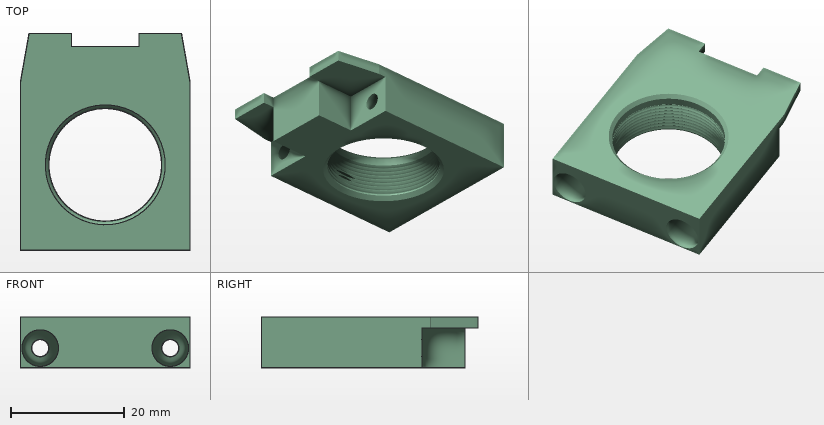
import cadquery as cq

width = 30.0
length = 38.37
height = 9.0
plate_thickness = 2.0
rear_width = 27.0
taper_length = 8.45
notch_width = 11.95
notch_depth = 2.3
shoulder_y = 28.45
tongue_end_y = length - notch_depth

screw_spacing = 23.02
screw_z = 3.5
screw_diameter = 3.0
counterbore_diameter = 6.5
counterbore_depth = 6.9

bore_y = 15.1
mouth_diameter = 21.2
relief_diameter = 20.0
relief_depth = 1.45
minor_diameter = 19.9
major_diameter = 20.6
thread_length = 6.0
groove_count = 8
thread_pitch = thread_length / groove_count
exit_diameter = 21.37


def make_plate():
    """Top plate with tapered rear corners and a notch in the rear edge."""
    half = (
        cq.Workplane("XY", origin=(0, 0, height - plate_thickness))
        .polyline([
            (0, 0),
            (width / 2, 0),
            (width / 2, length - taper_length),
            (rear_width / 2, length),
            (notch_width / 2, length),
            (notch_width / 2, tongue_end_y),
            (0, tongue_end_y),
        ])
        .close()
        .extrude(plate_thickness)
    )
    return half.union(half.mirror("YZ"))


def make_block(block_width, end_y):
    """Block under the plate, running from the front face to end_y."""
    return cq.Workplane("XY").box(
        block_width, end_y, height - plate_thickness, centered=(True, False, False)
    )


def make_screw_cutter(x):
    """Through hole along Y with a counterbore in the front face."""
    front = cq.Workplane("XZ", origin=(x, 0, screw_z))
    hole = front.circle(screw_diameter / 2).extrude(-length)
    counterbore = front.circle(counterbore_diameter / 2).extrude(-counterbore_depth)
    return hole.union(counterbore)


def make_bore_cutter():
    """Bore with chamfered ends, a plain relief and ring grooves for the thread."""
    minor_radius = minor_diameter / 2
    mouth_radius = mouth_diameter / 2
    exit_radius = exit_diameter / 2
    exit_chamfer = exit_radius - minor_radius
    relief_radius = relief_diameter / 2
    chamfer = mouth_radius - relief_radius
    relief_bottom = height - chamfer - relief_depth
    profile = (
        cq.Workplane("XZ")
        .moveTo(0, height)
        .lineTo(mouth_radius, height)
        .lineTo(relief_radius, height - chamfer)
        .lineTo(relief_radius, relief_bottom)
        .lineTo(minor_radius, relief_bottom)
    )
    for i in range(groove_count):
        groove_top = relief_bottom - i * thread_pitch
        profile = (
            profile.lineTo(major_diameter / 2, groove_top - thread_pitch / 2)
            .lineTo(minor_radius, groove_top - thread_pitch)
        )
    profile = (
        profile.lineTo(minor_radius, exit_chamfer)
        .lineTo(exit_radius, 0)
        .lineTo(0, 0)
        .close()
    )
    return profile.revolve(360, (0, 0, 0), (0, 1, 0)).translate((0, bore_y, 0))


body = make_plate()
body = body.union(make_block(width, shoulder_y))
body = body.union(make_block(notch_width, tongue_end_y))
for side in (-1, 1):
    body = body.cut(make_screw_cutter(side * screw_spacing / 2))
result = body.cut(make_bore_cutter())